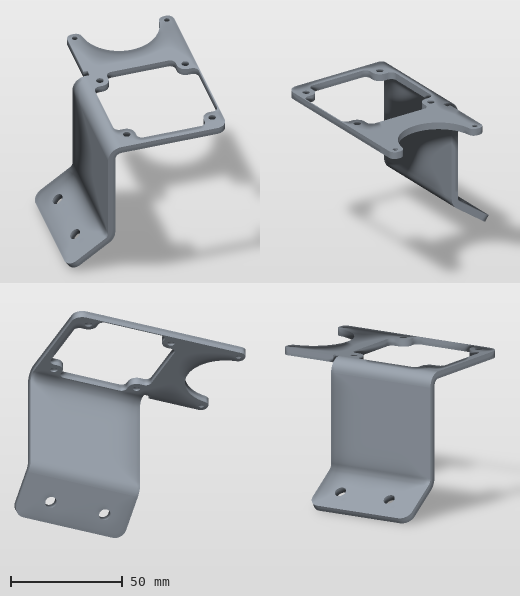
import cadquery as cq
import math

LENGTH = 83.0
DEPTH = 75.0
HEIGHT = 65.8
THICKNESS = 3.3
INNER_BEND_RADIUS = 3.0
OUTER_BEND_RADIUS = INNER_BEND_RADIUS + THICKNESS
CORNER_RADIUS = 5.0

PLATE_DEPTH = 50.05
BEND_START = 49.8
FLANGE_LEFT = 30.0
FLANGE_WIDTH = LENGTH - FLANGE_LEFT
RELIEF_WIDTH = 3.0
RELIEF_BACK = 48.1

RECESS_RADIUS = 18.2
RECESS_X = 0.25
EAR_RADIUS = 3.0
EAR_HOLE_DIAMETER = 2.5
EAR_HOLE_X = 3.0
EAR_HOLE_SPACING = 43.2

WINDOW_X = 55.0
WINDOW_Y = -24.9
WINDOW_SIZE = 48.6
LUG_HOLE_SPACING = 40.0
LUG_HOLE_DIAMETER = 3.3
LUG_RADIUS = 4.0
WINDOW_CORNER_RADIUS = 2.65

FOOT_SLOPE = math.radians(35)
FOOT_HOLE_DIAMETER = 5.2
FOOT_HOLE_X = 42.0
FOOT_HOLE_SPACING = 26.1
FOOT_HOLE_FROM_END = 9.9

SLOPE_Y, SLOPE_Z = -math.cos(FOOT_SLOPE), -math.sin(FOOT_SLOPE)
NORMAL_Y, NORMAL_Z = SLOPE_Z, -SLOPE_Y

WALL_FRONT = -BEND_START - OUTER_BEND_RADIUS
WALL_BACK = WALL_FRONT + THICKNESS

FOOT_END_Y = -DEPTH
FOOT_END_Z = -HEIGHT + THICKNESS * NORMAL_Z

LOWER_BEND_Y = WALL_FRONT - INNER_BEND_RADIUS
BEND_EXIT_Y = LOWER_BEND_Y - INNER_BEND_RADIUS * NORMAL_Y
FOOT_LENGTH = (FOOT_END_Y - BEND_EXIT_Y) / SLOPE_Y
BEND_EXIT_Z = FOOT_END_Z - FOOT_LENGTH * SLOPE_Z
LOWER_BEND_Z = BEND_EXIT_Z + INNER_BEND_RADIUS * NORMAL_Z


def lower_bend_point(radius, angle):
    """Point on the lower bend, at an angle below the +Y direction."""
    return LOWER_BEND_Y + radius * math.cos(angle), LOWER_BEND_Z - radius * math.sin(angle)


def upper_bend_middle(radius):
    offset = radius * math.sqrt(0.5)
    return -BEND_START - offset, -OUTER_BEND_RADIUS + offset


def make_plate():
    relief_left = FLANGE_LEFT - RELIEF_WIDTH
    plate = (
        cq.Workplane("XY")
        .moveTo(0, 0)
        .lineTo(LENGTH, 0)
        .lineTo(LENGTH, -BEND_START)
        .lineTo(FLANGE_LEFT, -BEND_START)
        .lineTo(FLANGE_LEFT, -RELIEF_BACK)
        .lineTo(relief_left, -RELIEF_BACK)
        .lineTo(relief_left, -PLATE_DEPTH)
        .lineTo(0, -PLATE_DEPTH)
        .close()
        .extrude(-THICKNESS)
    )
    recess = (
        cq.Workplane("XY")
        .center(RECESS_X, -PLATE_DEPTH / 2)
        .circle(RECESS_RADIUS)
        .extrude(-THICKNESS)
    )
    plate = plate.cut(recess)
    plate = plate.edges("|Z and <X").fillet(EAR_RADIUS)
    return plate.edges("|Z and >X and >Y").fillet(CORNER_RADIUS)


def make_window():
    lug_edge = LUG_HOLE_SPACING - 2 * LUG_RADIUS
    center = cq.Workplane("XY").center(WINDOW_X, WINDOW_Y)
    window = center.rect(WINDOW_SIZE, lug_edge).extrude(-THICKNESS)
    window = window.union(center.rect(lug_edge, WINDOW_SIZE).extrude(-THICKNESS))
    reach = lug_edge / 2 + LUG_RADIUS / 2
    inner_corners = cq.selectors.BoxSelector(
        (WINDOW_X - reach, WINDOW_Y - reach, -THICKNESS),
        (WINDOW_X + reach, WINDOW_Y + reach, THICKNESS),
    )
    outer_corners = window.edges("|Z").edges(cq.selectors.InverseSelector(inner_corners))
    window = outer_corners.fillet(WINDOW_CORNER_RADIUS)
    return window.edges("|Z").edges(inner_corners).fillet(LUG_RADIUS)


def make_plate_holes():
    ear_holes = (
        cq.Workplane("XY")
        .center(EAR_HOLE_X, -PLATE_DEPTH / 2)
        .rarray(0.8, EAR_HOLE_SPACING, 1, 2)
        .circle(EAR_HOLE_DIAMETER / 2)
        .extrude(-THICKNESS)
    )
    lug_holes = (
        cq.Workplane("XY")
        .center(WINDOW_X, WINDOW_Y)
        .rarray(LUG_HOLE_SPACING, LUG_HOLE_SPACING, 2, 2)
        .circle(LUG_HOLE_DIAMETER / 2)
        .extrude(-THICKNESS)
    )
    return ear_holes.union(lug_holes)


def make_flange():
    """Wall and foot, bent from the front edge of the plate."""
    bend_angle = math.pi / 2 - FOOT_SLOPE
    flange = (
        cq.Workplane("YZ", origin=(FLANGE_LEFT, 0, 0))
        .moveTo(-BEND_START, 0)
        .threePointArc(upper_bend_middle(OUTER_BEND_RADIUS), (WALL_FRONT, -OUTER_BEND_RADIUS))
        .lineTo(WALL_FRONT, LOWER_BEND_Z)
        .threePointArc(
            lower_bend_point(INNER_BEND_RADIUS, bend_angle / 2),
            lower_bend_point(INNER_BEND_RADIUS, bend_angle),
        )
        .lineTo(FOOT_END_Y, FOOT_END_Z)
        .lineTo(FOOT_END_Y - THICKNESS * NORMAL_Y, FOOT_END_Z - THICKNESS * NORMAL_Z)
        .lineTo(*lower_bend_point(OUTER_BEND_RADIUS, bend_angle))
        .threePointArc(
            lower_bend_point(OUTER_BEND_RADIUS, bend_angle / 2),
            (WALL_BACK, LOWER_BEND_Z),
        )
        .lineTo(WALL_BACK, -OUTER_BEND_RADIUS)
        .threePointArc(upper_bend_middle(INNER_BEND_RADIUS), (-BEND_START, -THICKNESS))
        .close()
        .extrude(FLANGE_WIDTH)
    )
    foot_end = flange.faces(cq.selectors.DirectionMinMaxSelector(cq.Vector(0, SLOPE_Y, SLOPE_Z)))
    return foot_end.edges("not |X").fillet(CORNER_RADIUS)


def make_foot_holes():
    """Two holes square to the foot; local Y runs up the slope."""
    foot_plane = cq.Plane(
        origin=(FOOT_HOLE_X, FOOT_END_Y, FOOT_END_Z),
        xDir=(1, 0, 0),
        normal=(0, NORMAL_Y, NORMAL_Z),
    )
    return (
        cq.Workplane(foot_plane)
        .pushPoints([(i * FOOT_HOLE_SPACING, FOOT_HOLE_FROM_END) for i in range(2)])
        .circle(FOOT_HOLE_DIAMETER / 2)
        .extrude(-THICKNESS)
    )


plate = make_plate().cut(make_window()).cut(make_plate_holes())
flange = make_flange().cut(make_foot_holes())
result = plate.union(flange)